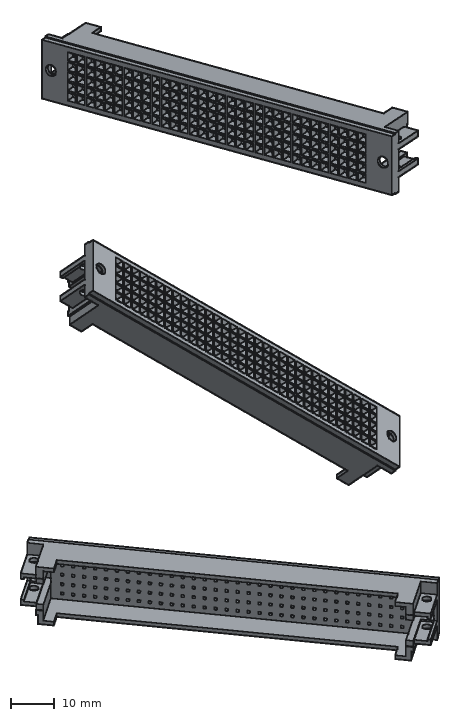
import cadquery as cq

length = 95.0
depth = 12.5
height = 15.4

plate_thickness = 2.85
lip_depth = 1.4
lip_step = 0.3

body_depth = 8.8
wall_thickness = 1.0
end_wall_thickness = 1.7
end_inset = 3.8
tab_width = 4.2

slot_center_z = 0.3
slot_height = 5.5
slot_margin = 1.5
slot_margin_setback = 0.3

end_step_z = -5.3
end_step_inset = 0.5

ear_depth = 11.0
ear_thickness = 1.5
ear_rim_width = 0.8
ear_groove_depth = 0.5
ear_hole_diameter = 2.1
ear_hole_inset = 2.0
ear_hole_y = 5.0

screw_hole_diameter = 2.8
screw_hole_inset = 2.5

nut_pocket_depth = 2.0

columns = 32
rows = 5
grid_length = 78.8
funnel_mouth = 2.1
funnel_throat = 0.7
funnel_depth = 0.95
contact_hole_diameter = 0.7

pitch = grid_length / (columns - 1)
housing_length = length - 2 * end_inset
sides = (-1, 1)


def box(x_range, y_range, z_range):
    """Axis-aligned block spanning the given ranges."""
    spans = [abs(high - low) for low, high in (x_range, y_range, z_range)]
    corner = [min(pair) for pair in (x_range, y_range, z_range)]
    return cq.Workplane("XY").box(*spans, centered=False).translate(tuple(corner))


def centered(size, middle=0.0):
    """Range of the given size about its middle."""
    return (middle - size / 2, middle + size / 2)


def front_plate():
    """Full-length plate whose front lip is slightly lower than the rest."""
    lip = box(centered(length), (0, lip_depth), centered(height - 2 * lip_step))
    return lip.union(box(centered(length), (lip_depth, plate_thickness), centered(height)))


def housing():
    """Open-backed tray with tall tabs and slotted walls at both ends."""
    shell = box(centered(housing_length), (plate_thickness, depth), centered(height))
    cavity_length = housing_length - 2 * end_wall_thickness
    cavity_height = height - 2 * wall_thickness
    shell = shell.cut(box(centered(cavity_length), (plate_thickness, depth), centered(cavity_height)))
    gap_length = housing_length - 2 * tab_width
    shell = shell.cut(box(centered(gap_length), (body_depth, depth), centered(height)))

    slot = centered(slot_height, slot_center_z)
    shell = shell.cut(box(centered(housing_length), (plate_thickness, depth), slot))
    margin = centered(slot_height + 2 * slot_margin, slot_center_z)
    shell = shell.cut(box(centered(housing_length), (depth - slot_margin_setback, depth), margin))

    for side in sides:
        outer_x = side * housing_length / 2
        step_x = (outer_x, outer_x - side * end_step_inset)
        shell = shell.cut(box(step_x, (plate_thickness, depth), (-height / 2, end_step_z)))
    return shell


def ear(x_side, z_side):
    """Drilled ear with a shallow groove on the face toward the slot."""
    outer_x = x_side * length / 2
    wall_x = x_side * housing_length / 2
    inner_z = slot_center_z + z_side * slot_height / 2
    y_range = (plate_thickness, ear_depth)
    blank = box((outer_x, wall_x), y_range, (inner_z, inner_z + z_side * ear_thickness))
    rim_x = outer_x - x_side * ear_rim_width
    groove = box((rim_x, wall_x), y_range, (inner_z, inner_z + z_side * ear_groove_depth))
    drill = (
        cq.Workplane("XY")
        .center(x_side * (length / 2 - ear_hole_inset), ear_hole_y)
        .circle(ear_hole_diameter / 2)
        .extrude(height, both=True)
    )
    return blank.cut(groove).cut(drill)


def nut_pocket(x_side):
    """Cutter that carries the space between the ears into the plate."""
    rim_x = x_side * (length / 2 - ear_rim_width)
    cavity_x = x_side * (housing_length / 2 - end_wall_thickness)
    y_range = (plate_thickness - nut_pocket_depth, plate_thickness)
    return box((rim_x, cavity_x), y_range, centered(slot_height, slot_center_z))


def screw_holes():
    """Pair of cutters through the ends of the plate."""
    spots = [(side * (length / 2 - screw_hole_inset), slot_center_z) for side in sides]
    return (
        cq.Workplane("XZ")
        .pushPoints(spots)
        .circle(screw_hole_diameter / 2)
        .extrude(-plate_thickness)
    )


def contact_cutters():
    """Compound of all funnels with their contact holes."""
    funnel = (
        cq.Workplane("XZ")
        .rect(funnel_mouth, funnel_mouth)
        .workplane(offset=-funnel_depth)
        .rect(funnel_throat, funnel_throat)
        .loft(ruled=True)
    )
    hole = cq.Workplane("XZ").circle(contact_hole_diameter / 2).extrude(-plate_thickness)
    cutter = funnel.union(hole).val()
    copies = []
    for column in range(columns):
        x = (column - (columns - 1) / 2) * pitch
        for row in range(rows):
            z = (row - (rows - 1) / 2) * pitch
            copies.append(cutter.translate(cq.Vector(x, 0, z)))
    return cq.Workplane(cq.Compound.makeCompound(copies))


result = front_plate().union(housing())
for x_side in sides:
    for z_side in sides:
        result = result.union(ear(x_side, z_side))
    result = result.cut(nut_pocket(x_side))
result = result.cut(screw_holes())
result = result.cut(contact_cutters())